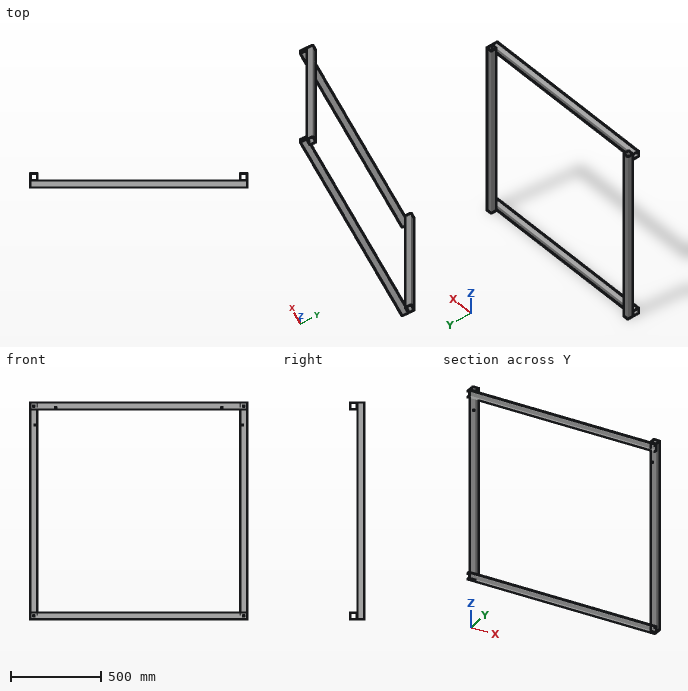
import cadquery as cq


LENGTH = 1200.0
SIDE = LENGTH / 30
WALL = 3.0
OUTER_RADIUS = 3.0
INNER_RADIUS = 0.6

CORNER_HOLE_DIAMETER = 7.8
SMALL_HOLE_DIAMETER = 7.0
SMALL_HOLE_EDGE = 28.0
RAIL_HOLE_END = 140.0
POST_HOLE_END = 125.0

POST_X = (LENGTH - SIDE) / 2
BOTTOM_RAIL_Z = SIDE / 2
TOP_RAIL_Z = LENGTH - SIDE / 2
RAIL_FRONT_Y = -SIDE
POST_FRONT_Y = 0.0


def rounded_bar(side, radius):
    """Square bar along Z with rounded long edges."""
    return cq.Workplane("XY").rect(side, side).extrude(LENGTH).edges("|Z").fillet(radius)


def square_tube():
    """Open-ended square tube along Z, centred on the Z axis."""
    return rounded_bar(SIDE, OUTER_RADIUS).cut(rounded_bar(SIDE - 2 * WALL, INNER_RADIUS))


def front_wall_hole(x, front_y, z, diameter):
    """Cutter along +Y, from the front face to the inside of the front wall."""
    return cq.Workplane("XZ", origin=(x, front_y, z)).circle(diameter / 2).extrude(-WALL)


def make_post(side_sign):
    """Upright post on the left (-1) or right (+1), with a small hole near its top."""
    post = square_tube().translate((side_sign * POST_X, POST_FRONT_Y + SIDE / 2, 0))
    hole_x = side_sign * (LENGTH / 2 - SMALL_HOLE_EDGE)
    hole_z = LENGTH - POST_HOLE_END
    return post.cut(front_wall_hole(hole_x, POST_FRONT_Y, hole_z, SMALL_HOLE_DIAMETER))


def make_rail(center_z):
    """Horizontal rail along X with a hole in front of each post."""
    rail = square_tube().rotate((0, 0, 0), (0, 1, 0), 90)
    rail = rail.translate((-LENGTH / 2, RAIL_FRONT_Y + SIDE / 2, center_z))
    for hole_x in (-POST_X, POST_X):
        rail = rail.cut(front_wall_hole(hole_x, RAIL_FRONT_Y, center_z, CORNER_HOLE_DIAMETER))
    return rail


def make_top_rail():
    """Rail with two further small holes below its centre line."""
    rail = make_rail(TOP_RAIL_Z)
    hole_x = LENGTH / 2 - RAIL_HOLE_END
    hole_z = LENGTH - SMALL_HOLE_EDGE
    for x in (-hole_x, hole_x):
        rail = rail.cut(front_wall_hole(x, RAIL_FRONT_Y, hole_z, SMALL_HOLE_DIAMETER))
    return rail


posts = [make_post(side_sign) for side_sign in (-1, 1)]
bottom_rail = make_rail(BOTTOM_RAIL_Z)
top_rail = make_top_rail()

result = cq.Compound.makeCompound(
    [*[post.val() for post in posts], bottom_rail.val(), top_rail.val()]
)